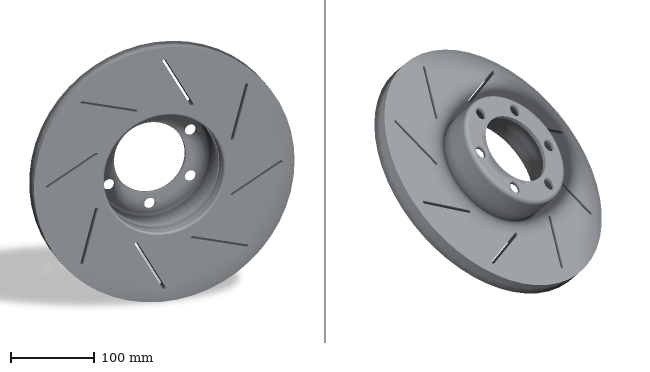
import cadquery as cq
import math

total_width = 65.0
disc_radius = 326.6 / 2
disc_thickness = 20.0

hat_depth = total_width - disc_thickness
hat_radius = 75.0
hat_wall = 1.0
hat_inner_radius = hat_radius - hat_wall
hat_plate_thickness = 5.0
hat_outer_fillet = 5.0
hat_inner_fillet = hat_outer_fillet - hat_wall
centre_bore_radius = 45.0

bolt_count = 6
bolt_circle_radius = 59.0
bolt_hole_radius = 7.0
bolt_hole_chamfer = 1.5

disc_bore_radius = hat_radius
disc_bore_fillet = 3.0

slot_count = 8
slot_width = 4.0
slot_run = 70.0
slot_outer_radius = 146.0
slot_slant = 30.0


def cylinder_along_x(radius, start, length):
    return cq.Workplane("YZ").workplane(offset=start).circle(radius).extrude(length)


def cut_around_x(body, cutter, count):
    """Cut copies of a cutter, spaced evenly around the X axis, from a body."""
    for index in range(count):
        body = body.cut(cutter.rotate((0, 0, 0), (1, 0, 0), index * 360.0 / count))
    return body


def bolt_hole():
    """Cutter for the bolt hole on the +Z axis, widening to a cone at the outer face."""
    shank = cylinder_along_x(bolt_hole_radius, 0, hat_plate_thickness)
    cone = (
        cq.Workplane("YZ")
        .circle(bolt_hole_radius + bolt_hole_chamfer)
        .workplane(offset=bolt_hole_chamfer)
        .circle(bolt_hole_radius)
        .loft()
    )
    return shank.union(cone).translate((0, 0, bolt_circle_radius))


def make_hat():
    outside = cylinder_along_x(hat_radius, 0, hat_depth)
    outside = outside.faces("<X").edges().fillet(hat_outer_fillet)
    hollow = cylinder_along_x(hat_inner_radius, hat_plate_thickness, hat_depth - hat_plate_thickness)
    hollow = hollow.faces("<X").edges().fillet(hat_inner_fillet)
    centre_bore = cylinder_along_x(centre_bore_radius, 0, hat_plate_thickness)
    hat = outside.cut(hollow).cut(centre_bore)
    return cut_around_x(hat, bolt_hole(), bolt_count)


def slot():
    """Cutter for the slot whose outer end lies on the +Z axis and whose inner end leans toward +Y."""
    angle = math.radians(slot_slant)
    middle_y = slot_run / 2 * math.sin(angle)
    middle_z = slot_outer_radius - slot_run / 2 * math.cos(angle)
    return (
        cq.Workplane("YZ")
        .workplane(offset=hat_depth)
        .center(middle_y, middle_z)
        .slot2D(slot_run + slot_width, slot_width, 90.0 + slot_slant)
        .extrude(disc_thickness)
    )


def make_disc():
    disc = cylinder_along_x(disc_radius, hat_depth, disc_thickness)
    disc = disc.cut(cylinder_along_x(disc_bore_radius, hat_depth, disc_thickness))
    bore_edge = cq.selectors.RadiusNthSelector(0)
    disc = disc.faces(">X").edges(bore_edge).fillet(disc_bore_fillet)
    return cut_around_x(disc, slot(), slot_count)


hat = make_hat()
disc = make_disc()

result = cq.Compound.makeCompound([hat.solids().val(), disc.solids().val()])